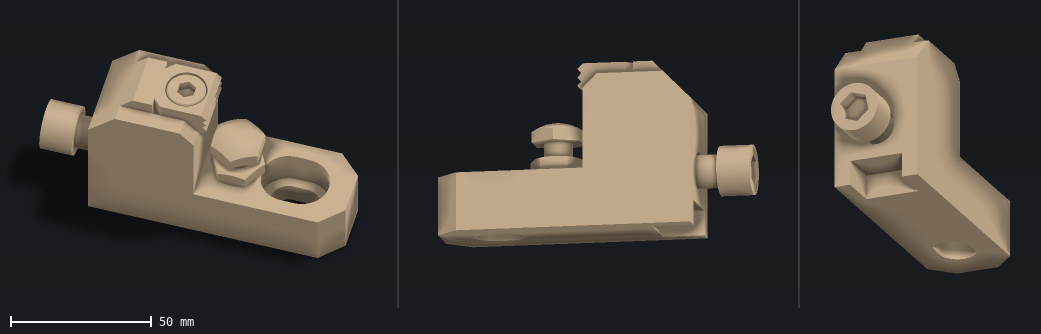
import cadquery as cq
import math

LENGTH = 113.0
WIDTH = 32.0
HEIGHT = 60.0

HEX_HALF_TURN = 30.0

BODY_LEFT = 20.0
STEP_X = 59.0
BASE_HEIGHT = 21.0
CHEEK_HEIGHT = 55.0
LEFT_BEVEL = 10.0
RIGHT_BEVEL = 5.1
END_CHAMFER = 8.0

SLOT_X = 92.1
SLOT_LENGTH = 18.0
SLOT_WIDTH = 13.0
SLOT_RIM = 3.5
SLOT_FLOOR = 8.0

REST_X = 71.0
REST_FLATS = 17.4
REST_SHANK_DIAMETER = 10.4
NUT_HEIGHT = 6.1
NUT_CHAMFER = 0.8
NUT_FACE_DIAMETER = 16.8
REST_HEAD_BOTTOM = 33.0
REST_TOP = 40.3
REST_DOME_RADIUS = 15.7

JAW_WIDTH = 20.0
JAW_BOTTOM = 9.0
JAW_LEG = HEIGHT - CHEEK_HEIGHT + LEFT_BEVEL
JAW_HEAD_BOTTOM = CHEEK_HEIGHT - RIGHT_BEVEL
TOOTH_COUNT = 3
TOOTH_TIP_X = 62.2
TOOTH_PITCH = 3.0
TOOTH_DEPTH = TOOTH_PITCH / 2
NOTCH_X = 41.9
NOTCH_SIZE = 3.2

JAW_SCREW_X = 51.9
JAW_SCREW_DIAMETER = 14.0
JAW_SCREW_BORE = 15.1
JAW_SCREW_DEPTH = 8.0
JAW_SCREW_CHAMFER = 0.5
JAW_SCREW_SOCKET = 6.2
JAW_SCREW_SOCKET_DEPTH = 4.0

SCREW_Z = BASE_HEIGHT
SCREW_HEAD_DIAMETER = 18.0
SCREW_HEAD_LENGTH = 12.0
SCREW_DIAMETER = 12.0
SCREW_LENGTH = 50.8
SCREW_SOCKET = 10.1
SCREW_SOCKET_DEPTH = 6.0
SCREW_SOCKET_ANGLE = 18.0
SCREW_CLEARANCE_DIAMETER = 14.0


def side_profile(points):
    """Closed outline in the XZ plane."""
    return cq.Workplane("XZ").polyline(points).close()


def upright(x, z):
    """Horizontal work plane at height z, centred on (x, 0)."""
    return cq.Workplane("XY", origin=(x, 0, z))


def on_screw_axis(x):
    """Work plane facing +X, centred on the clamping screw axis at x."""
    return cq.Workplane("YZ", origin=(x, 0, SCREW_Z))


def across_corners(flats):
    """Corner-to-corner diameter of a hexagon."""
    return flats / math.cos(math.radians(HEX_HALF_TURN))


def make_rest():
    """Rest stud and lock nut, fixed to the top of the housing base."""
    corner = across_corners(REST_FLATS)
    nut = upright(REST_X, BASE_HEIGHT).polygon(6, corner).extrude(NUT_HEIGHT)
    face_radius = NUT_FACE_DIAMETER / 2
    nut_envelope = (
        cq.Workplane("XZ", origin=(REST_X, 0, BASE_HEIGHT))
        .polyline([
            (0, 0), (face_radius, 0), (corner / 2, NUT_CHAMFER),
            (corner / 2, NUT_HEIGHT - NUT_CHAMFER), (face_radius, NUT_HEIGHT), (0, NUT_HEIGHT),
        ])
        .close()
        .revolve(360, (0, 0, 0), (0, 1, 0))
    )
    head = (
        upright(REST_X, REST_HEAD_BOTTOM)
        .transformed(rotate=(0, 0, HEX_HALF_TURN))
        .polygon(6, corner)
        .extrude(REST_TOP - REST_HEAD_BOTTOM)
    )
    dome = upright(REST_X, REST_TOP - REST_DOME_RADIUS).sphere(REST_DOME_RADIUS)
    shank = (
        upright(REST_X, BASE_HEIGHT)
        .circle(REST_SHANK_DIAMETER / 2)
        .extrude(REST_HEAD_BOTTOM - BASE_HEIGHT)
    )
    return nut.intersect(nut_envelope).union(shank).union(head.intersect(dome))


def make_screw():
    """Socket head screw running through the jaw leg into the housing."""
    head = on_screw_axis(0).circle(SCREW_HEAD_DIAMETER / 2).extrude(SCREW_HEAD_LENGTH)
    shank = on_screw_axis(0).circle(SCREW_DIAMETER / 2).extrude(SCREW_LENGTH)
    socket = (
        on_screw_axis(0)
        .transformed(rotate=(0, 0, SCREW_SOCKET_ANGLE))
        .polygon(6, across_corners(SCREW_SOCKET))
        .extrude(SCREW_SOCKET_DEPTH)
    )
    return head.union(shank).cut(socket)


def make_jaw():
    """Toothed jaw together with its sunk screw."""
    tooth_row = TOOTH_PITCH * (TOOTH_COUNT - 1)
    end_run = (HEIGHT - JAW_HEAD_BOTTOM - tooth_row) / 2
    teeth = [(TOOTH_TIP_X - end_run, HEIGHT)]
    for i in range(TOOTH_COUNT):
        tip_z = HEIGHT - end_run - i * TOOTH_PITCH
        teeth.append((TOOTH_TIP_X, tip_z))
        if i < TOOTH_COUNT - 1:
            teeth.append((TOOTH_TIP_X - TOOTH_DEPTH, tip_z - TOOTH_PITCH / 2))
    teeth.append((TOOTH_TIP_X - end_run, JAW_HEAD_BOTTOM))
    leg_end = BODY_LEFT + JAW_LEG
    jaw = side_profile([
        (BODY_LEFT, JAW_BOTTOM), (BODY_LEFT, HEIGHT - JAW_LEG), (leg_end, HEIGHT),
        *teeth,
        (leg_end, JAW_HEAD_BOTTOM), (leg_end, JAW_BOTTOM),
    ]).extrude(JAW_WIDTH / 2, both=True)

    hole = (
        on_screw_axis(BODY_LEFT)
        .circle(SCREW_CLEARANCE_DIAMETER / 2)
        .extrude(JAW_LEG)
    )
    jaw = jaw.cut(hole)

    for side in (-1, 1):
        edge = side * JAW_WIDTH / 2
        notch = (
            upright(0, JAW_HEAD_BOTTOM)
            .polyline([(NOTCH_X, edge), (NOTCH_X + NOTCH_SIZE, edge), (NOTCH_X, edge - side * NOTCH_SIZE)])
            .close()
            .extrude(HEIGHT - JAW_HEAD_BOTTOM)
        )
        jaw = jaw.cut(notch)

    bore_floor = HEIGHT - JAW_SCREW_DEPTH
    bore = upright(JAW_SCREW_X, bore_floor).circle(JAW_SCREW_BORE / 2).extrude(JAW_SCREW_DEPTH)
    head = (
        upright(JAW_SCREW_X, bore_floor)
        .circle(JAW_SCREW_DIAMETER / 2)
        .extrude(JAW_SCREW_DEPTH)
        .faces(">Z").edges().chamfer(JAW_SCREW_CHAMFER)
    )
    socket = (
        upright(JAW_SCREW_X, HEIGHT - JAW_SCREW_SOCKET_DEPTH)
        .transformed(rotate=(0, 0, HEX_HALF_TURN))
        .polygon(6, across_corners(JAW_SCREW_SOCKET))
        .extrude(JAW_SCREW_SOCKET_DEPTH)
    )
    return jaw.cut(bore).union(head.cut(socket))


def make_housing():
    """Stepped housing carrying the rest."""
    body = side_profile([
        (BODY_LEFT, 0), (LENGTH, 0), (LENGTH, BASE_HEIGHT), (STEP_X, BASE_HEIGHT),
        (STEP_X, CHEEK_HEIGHT - RIGHT_BEVEL), (STEP_X - RIGHT_BEVEL, CHEEK_HEIGHT),
        (BODY_LEFT + LEFT_BEVEL, CHEEK_HEIGHT), (BODY_LEFT, CHEEK_HEIGHT - LEFT_BEVEL),
    ]).extrude(WIDTH / 2, both=True)
    body = body.edges("|Z and >X").chamfer(END_CHAMFER)

    leg_slot = upright(BODY_LEFT + JAW_LEG / 2, 0).rect(JAW_LEG, JAW_WIDTH).extrude(HEIGHT)
    channel = (
        upright((BODY_LEFT + STEP_X) / 2, JAW_HEAD_BOTTOM)
        .rect(STEP_X - BODY_LEFT, JAW_WIDTH)
        .extrude(HEIGHT - JAW_HEAD_BOTTOM)
    )
    body = body.cut(leg_slot).cut(channel)

    slot = upright(SLOT_X, 0).slot2D(SLOT_LENGTH, SLOT_WIDTH).extrude(BASE_HEIGHT)
    recess = (
        upright(SLOT_X, SLOT_FLOOR)
        .slot2D(SLOT_LENGTH + 2 * SLOT_RIM, SLOT_WIDTH + 2 * SLOT_RIM)
        .extrude(BASE_HEIGHT - SLOT_FLOOR)
    )
    body = body.cut(slot).cut(recess)

    screw_hole = (
        on_screw_axis(BODY_LEFT)
        .circle(SCREW_DIAMETER / 2)
        .extrude(SCREW_LENGTH - BODY_LEFT)
    )
    body = body.cut(screw_hole)

    return body.union(make_rest())


housing = make_housing()
jaw = make_jaw()
screw = make_screw()

result = cq.Compound.makeCompound([housing.val(), jaw.val(), screw.val()])